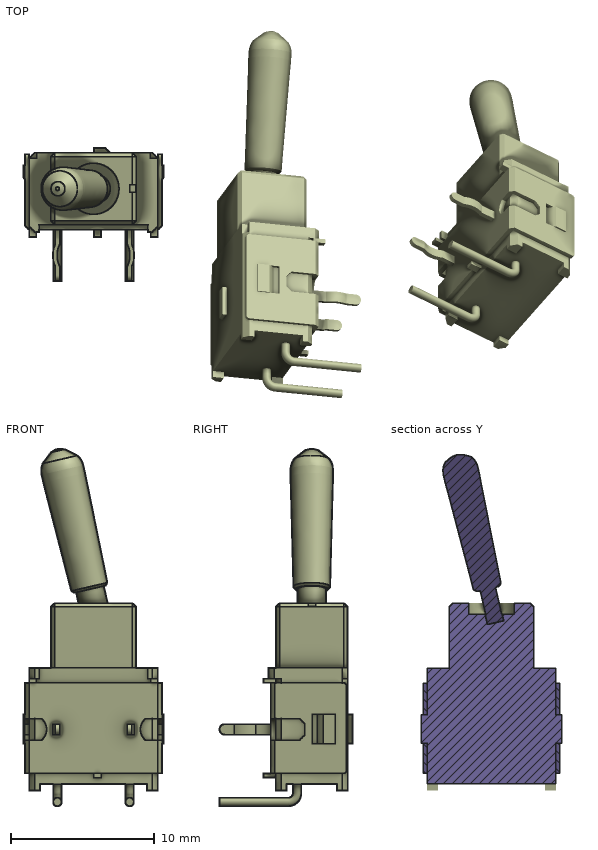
import cadquery as cq
import math


BODY_WIDTH = 8.97
BODY_DEPTH = 5.04
BODY_CORNER = 0.4
BODY_BOTTOM = -0.75
FOOT_LENGTH = 0.45
FOOT_WIDTH = 0.77
FLANGE_BOTTOM = 6.6
FLANGE_TOP = 7.35
EAR_WIDTH = 0.7
EAR_REACH = 0.5
NOTCH_WIDTH = 0.55
BUSHING_WIDTH = 5.93
BUSHING_DEPTH = 4.99
BUSHING_TOP = 11.87
BUSHING_CHAMFER = 0.25
LEVER_WELL_DIAMETER = 3.56
LEVER_WELL_DEPTH = 0.75
MARK_WIDTH = 0.52
MARK_LENGTH = 0.45
MARK_DEPTH = 0.22

BARB_BOTTOM = 2.07
BARB_HEIGHT = 2.05
SIDE_BARB_RISE = 0.112
SIDE_BARB_FRONT = 0.37
SIDE_BARB_BACK = 1.62
BACK_BARB_HEIGHT = 0.32
BACK_BARB_LEFT = 0.02
BACK_BARB_RIGHT = 1.15

SHEET = 0.3
SHELL_HEIGHT = 6.3
SHELL_FRONT = -2.87
SHELL_BACK = 2.42
BACK_CORNER_RADIUS = 0.22
TAB_WIDTH = 0.5
TAB_FRONT = -3.37
TAB_BACK = -2.52
LOWER_TAB_X = 0.27
BARB_WINDOW_FRONT = 0.02

WINDOW_BOTTOM = 2.32
WINDOW_HEIGHT = 1.5
WINDOW_BACK = -0.47
WINDOW_CORNER = 0.37
WINDOW_STRAIGHT_X = 3.61
WINDOW_INNER_X = 3.27

LEG_X = 2.52
LEG_END = -6.43
LEG_HEIGHT = 0.75
KINK_MIDDLE = -4.64
KINK_LENGTH = 1.5
KINK_OFFSET = 0.17
PIN_DIAMETER = 0.6
PIN_Y = -1.02
PIN_Z = -2.0
PIN_BEND_RADIUS = 0.62

LEVER_TILT = 13.0
PIVOT_Z = 11.75
STEM_RADIUS = 1.0
STEM_START = -1.25
GRIP_START = 1.12
GRIP_CHAMFER = 0.17
GRIP_BASE_RADIUS = 1.3
GRIP_RADIUS = 1.5
TAPER_END = 9.1
SHOULDER_START = 9.65
SHOULDER_END = 10.4
SHOULDER_END_RADIUS = 1.25
CAP_START = 11.02
CAP_RADIUS = 0.5
CAP_HEIGHT = 0.12
CAP_FLAT_RADIUS = 0.12

HALF_WIDTH = BODY_WIDTH / 2
HALF_DEPTH = BODY_DEPTH / 2
SHELL_HALF_WIDTH = HALF_WIDTH + SHEET
SIDE_BARB_HEIGHT = SHEET + SIDE_BARB_RISE
WINDOW_MIDDLE = WINDOW_BOTTOM + WINDOW_HEIGHT / 2
WINDOW_TOP = WINDOW_BOTTOM + WINDOW_HEIGHT


def box(x_min, x_max, y_min, y_max, z_min, z_max):
    return (
        cq.Workplane("XY")
        .box(x_max - x_min, y_max - y_min, z_max - z_min, centered=False)
        .translate((x_min, y_min, z_min))
    )


def mirrored_pair(part):
    """The part together with its mirror image across the plane X = 0."""
    return part.union(part.mirror("YZ"))


def make_body():
    feet_bottom = BODY_BOTTOM - FOOT_LENGTH
    body = (
        cq.Workplane("XY", origin=(0, 0, feet_bottom))
        .rect(BODY_WIDTH, BODY_DEPTH)
        .extrude(FLANGE_BOTTOM - feet_bottom)
        .edges("|Z")
        .chamfer(BODY_CORNER)
    )
    foot_x = HALF_WIDTH - FOOT_WIDTH
    foot_y = HALF_DEPTH - FOOT_WIDTH
    lengthwise = box(-HALF_WIDTH, HALF_WIDTH, -foot_y, foot_y, feet_bottom, BODY_BOTTOM)
    crosswise = box(-foot_x, foot_x, -HALF_DEPTH, HALF_DEPTH, feet_bottom, BODY_BOTTOM)
    return body.cut(lengthwise).cut(crosswise)


def make_flange():
    """Plate with two chamfered ears at the front and a square notch in each back corner."""
    ear_inner = HALF_WIDTH - EAR_WIDTH
    ear_front = -HALF_DEPTH - EAR_REACH
    notch_inner = HALF_WIDTH - NOTCH_WIDTH
    half = (
        cq.Workplane("XY", origin=(0, 0, FLANGE_BOTTOM))
        .moveTo(0, -HALF_DEPTH)
        .lineTo(ear_inner, -HALF_DEPTH)
        .lineTo(ear_inner, ear_front)
        .lineTo(HALF_WIDTH - BODY_CORNER, ear_front)
        .lineTo(HALF_WIDTH, ear_front + BODY_CORNER)
        .lineTo(HALF_WIDTH, HALF_DEPTH - BODY_CORNER)
        .lineTo(notch_inner, HALF_DEPTH - BODY_CORNER)
        .lineTo(notch_inner, HALF_DEPTH)
        .lineTo(0, HALF_DEPTH)
        .close()
        .extrude(FLANGE_TOP - FLANGE_BOTTOM)
    )
    return mirrored_pair(half)


def make_bushing():
    bushing = (
        cq.Workplane("XY", origin=(0, 0, FLANGE_TOP))
        .rect(BUSHING_WIDTH, BUSHING_DEPTH)
        .extrude(BUSHING_TOP - FLANGE_TOP)
        .edges("|Z or >Z")
        .chamfer(BUSHING_CHAMFER)
    )
    well = (
        cq.Workplane("XY", origin=(0, 0, BUSHING_TOP - LEVER_WELL_DEPTH))
        .circle(LEVER_WELL_DIAMETER / 2)
        .extrude(LEVER_WELL_DEPTH)
    )
    edge = BUSHING_WIDTH / 2
    mark = box(
        edge - MARK_LENGTH, edge, -MARK_WIDTH / 2, MARK_WIDTH / 2, BUSHING_TOP - MARK_DEPTH, BUSHING_TOP
    )
    return bushing.cut(well).cut(mark)


def make_barbs():
    """One barb on each side and one on the back, each with a 45 degree slope at one end."""
    barb_plane = cq.Workplane("XY", origin=(0, 0, BARB_BOTTOM))
    side_outer = HALF_WIDTH + SIDE_BARB_HEIGHT
    side_points = [
        (HALF_WIDTH, SIDE_BARB_FRONT),
        (side_outer, SIDE_BARB_FRONT + SIDE_BARB_HEIGHT),
        (side_outer, SIDE_BARB_BACK),
        (HALF_WIDTH, SIDE_BARB_BACK),
    ]
    back_outer = HALF_DEPTH + BACK_BARB_HEIGHT
    back_points = [
        (BACK_BARB_LEFT, HALF_DEPTH),
        (BACK_BARB_RIGHT, HALF_DEPTH),
        (BACK_BARB_RIGHT - BACK_BARB_HEIGHT, back_outer),
        (BACK_BARB_LEFT, back_outer),
    ]
    side = barb_plane.polyline(side_points).close().extrude(BARB_HEIGHT)
    back = barb_plane.polyline(back_points).close().extrude(BARB_HEIGHT)
    return mirrored_pair(side).union(back)


def make_housing(lever):
    """Housing with a socket that matches the end of the lever."""
    housing = make_body().union(make_flange()).union(make_bushing()).union(make_barbs())
    return housing.cut(lever)


def make_corner_window():
    """Cutter for the window around the right front corner: a round end in front, a cut one at the side."""
    front = (
        cq.Workplane("XZ", origin=(0, -HALF_DEPTH, 0))
        .moveTo(SHELL_HALF_WIDTH, WINDOW_BOTTOM)
        .lineTo(WINDOW_STRAIGHT_X, WINDOW_BOTTOM)
        .threePointArc((WINDOW_INNER_X, WINDOW_MIDDLE), (WINDOW_STRAIGHT_X, WINDOW_TOP))
        .lineTo(SHELL_HALF_WIDTH, WINDOW_TOP)
        .close()
        .extrude(-HALF_DEPTH - SHELL_FRONT)
    )
    side = (
        box(HALF_WIDTH, SHELL_HALF_WIDTH, SHELL_FRONT, WINDOW_BACK, WINDOW_BOTTOM, WINDOW_TOP)
        .edges("|X and >Y")
        .chamfer(WINDOW_CORNER)
    )
    return front.union(side)


def make_leg():
    """Right mounting leg: a flat strip with an outward kink and a fully rounded end."""
    kink_start = KINK_MIDDLE + KINK_LENGTH / 2
    kink_end = KINK_MIDDLE - KINK_LENGTH / 2
    inner = LEG_X - SHEET / 2
    outer = LEG_X + SHEET / 2
    strip = (
        cq.Workplane("XY", origin=(0, 0, WINDOW_MIDDLE - LEG_HEIGHT / 2))
        .moveTo(inner, SHELL_FRONT)
        .lineTo(inner, kink_start)
        .threePointArc((inner + KINK_OFFSET, KINK_MIDDLE), (inner, kink_end))
        .lineTo(inner, LEG_END)
        .lineTo(outer, LEG_END)
        .lineTo(outer, kink_end)
        .threePointArc((outer + KINK_OFFSET, KINK_MIDDLE), (outer, kink_start))
        .lineTo(outer, SHELL_FRONT)
        .close()
        .extrude(LEG_HEIGHT)
    )
    end_radius = LEG_HEIGHT / 2
    profile = (
        cq.Workplane("YZ")
        .moveTo(SHELL_FRONT, WINDOW_MIDDLE - end_radius)
        .lineTo(LEG_END + end_radius, WINDOW_MIDDLE - end_radius)
        .threePointArc((LEG_END, WINDOW_MIDDLE), (LEG_END + end_radius, WINDOW_MIDDLE + end_radius))
        .lineTo(SHELL_FRONT, WINDOW_MIDDLE + end_radius)
        .close()
        .extrude(SHELL_HALF_WIDTH)
    )
    return strip.intersect(profile)


def make_shell():
    shell = box(-SHELL_HALF_WIDTH, SHELL_HALF_WIDTH, SHELL_FRONT, SHELL_BACK, 0, SHELL_HEIGHT)
    shell = shell.edges("|Z and <Y").chamfer(SHEET)
    shell = shell.edges("|X and >Y").fillet(BACK_CORNER_RADIUS)
    shell = shell.cut(box(-HALF_WIDTH, HALF_WIDTH, -HALF_DEPTH, SHELL_BACK, 0, SHELL_HEIGHT))

    barb_window = box(
        HALF_WIDTH,
        SHELL_HALF_WIDTH,
        BARB_WINDOW_FRONT,
        SIDE_BARB_BACK,
        BARB_BOTTOM,
        BARB_BOTTOM + BARB_HEIGHT,
    )
    shell = shell.cut(mirrored_pair(make_corner_window().union(barb_window)))

    upper_tab = box(
        HALF_WIDTH - TAB_WIDTH, HALF_WIDTH, TAB_FRONT, TAB_BACK, SHELL_HEIGHT, SHELL_HEIGHT + SHEET
    )
    lower_tab = box(
        LOWER_TAB_X - TAB_WIDTH / 2, LOWER_TAB_X + TAB_WIDTH / 2, TAB_FRONT, TAB_BACK, -SHEET, 0
    )
    lower_tab = lower_tab.edges("|X and >Y and <Z").fillet(SHEET / 2)
    return shell.union(mirrored_pair(upper_tab)).union(lower_tab).union(mirrored_pair(make_leg()))


def make_lever():
    shoulder_length = SHOULDER_END - SHOULDER_START
    shoulder_inset = GRIP_RADIUS - SHOULDER_END_RADIUS
    shoulder_radius = (shoulder_length**2 + shoulder_inset**2) / (2 * shoulder_inset)
    half_angle = math.asin(shoulder_length / shoulder_radius) / 2
    shoulder_middle = (
        GRIP_RADIUS - shoulder_radius * (1 - math.cos(half_angle)),
        SHOULDER_START + shoulder_radius * math.sin(half_angle),
    )
    tip = CAP_START + CAP_HEIGHT
    return (
        cq.Workplane("XZ")
        .moveTo(0, STEM_START)
        .lineTo(STEM_RADIUS, STEM_START)
        .lineTo(STEM_RADIUS, GRIP_START)
        .lineTo(GRIP_BASE_RADIUS - GRIP_CHAMFER, GRIP_START)
        .lineTo(GRIP_BASE_RADIUS, GRIP_START + GRIP_CHAMFER)
        .lineTo(GRIP_RADIUS, TAPER_END)
        .lineTo(GRIP_RADIUS, SHOULDER_START)
        .threePointArc(shoulder_middle, (SHOULDER_END_RADIUS, SHOULDER_END))
        .lineTo(CAP_RADIUS, CAP_START)
        .lineTo(CAP_FLAT_RADIUS, tip)
        .lineTo(0, tip)
        .close()
        .revolve(360, (0, 0, 0), (0, 1, 0))
        .rotate((0, 0, 0), (0, 1, 0), -LEVER_TILT)
        .translate((0, 0, PIVOT_Z))
    )


def make_pin(x):
    """Round pin that leaves the body downward and bends toward the front."""
    path = (
        cq.Workplane("YZ", origin=(x, 0, 0))
        .moveTo(PIN_Y, BODY_BOTTOM)
        .lineTo(PIN_Y, PIN_Z + PIN_BEND_RADIUS)
        .radiusArc((PIN_Y - PIN_BEND_RADIUS, PIN_Z), PIN_BEND_RADIUS)
        .lineTo(LEG_END, PIN_Z)
    )
    return cq.Workplane("XY", origin=(x, PIN_Y, BODY_BOTTOM)).circle(PIN_DIAMETER / 2).sweep(path)


lever = make_lever()
housing = make_housing(lever)
shell = make_shell()
pins = [make_pin(x) for x in (-LEG_X, LEG_X)]

result = cq.Compound.makeCompound(
    [housing.val(), shell.val(), lever.val(), *[pin.val() for pin in pins]]
)